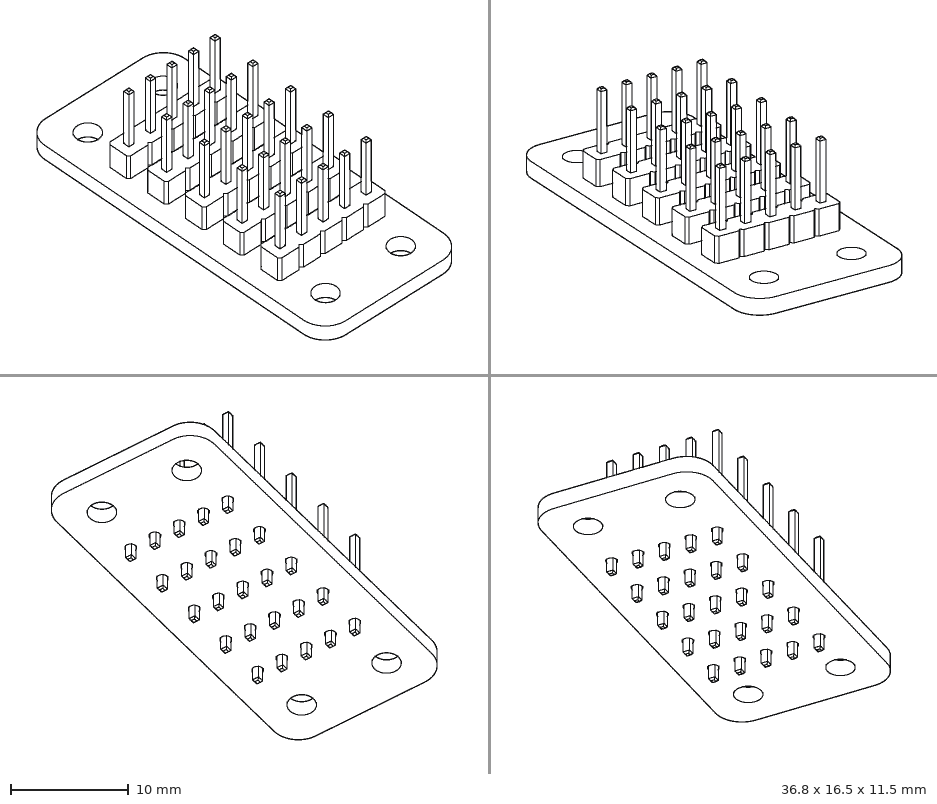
import cadquery as cq

BOARD_LENGTH = 36.83
BOARD_WIDTH = 16.5
BOARD_THICKNESS = 1.6
BOARD_CORNER_RADIUS = 2.55

MOUNT_HOLE_DIAMETER = 2.5
MOUNT_HOLE_SPACING_X = 29.2
MOUNT_HOLE_SPACING_Y = 8.88

HEADER_COUNT = 5
HEADER_SPACING = 4.65
HEADER_CENTER_X = 0.33
HEADER_CENTER_Y = 0.07

PINS_PER_HEADER = 5
PIN_PITCH = 2.55
BLOCK_HEIGHT = PIN_PITCH
BLOCK_CHAMFER = 0.25
BLOCK_CLEARANCE = 0.05
BLOCK_BOTTOM_Z = BOARD_THICKNESS + BLOCK_CLEARANCE

PIN_LENGTH = 11.53
PIN_WIDTH = 0.63
PIN_BELOW_BLOCK = 3.0
PIN_BOTTOM_Z = BLOCK_BOTTOM_Z - PIN_BELOW_BLOCK
PIN_TIP_INSET = 0.15
PIN_TIP_HEIGHT = 0.2

PIN_HOLE_DIAMETER = 1.0


def centered_steps(count, spacing, center):
    """Evenly spaced positions whose middle lies at center."""
    return [center + (i - (count - 1) / 2) * spacing for i in range(count)]


header_x = centered_steps(HEADER_COUNT, HEADER_SPACING, HEADER_CENTER_X)
pin_y = centered_steps(PINS_PER_HEADER, PIN_PITCH, HEADER_CENTER_Y)


def make_board():
    """Plate with rounded corners, mounting holes and a round hole for each pin."""
    board = (
        cq.Workplane("XY")
        .box(BOARD_LENGTH, BOARD_WIDTH, BOARD_THICKNESS, centered=(True, True, False))
        .edges("|Z")
        .fillet(BOARD_CORNER_RADIUS)
    )
    mount_holes = (
        cq.Workplane("XY")
        .rect(MOUNT_HOLE_SPACING_X, MOUNT_HOLE_SPACING_Y, forConstruction=True)
        .vertices()
        .circle(MOUNT_HOLE_DIAMETER / 2)
        .extrude(BOARD_THICKNESS)
    )
    pin_holes = (
        cq.Workplane("XY")
        .pushPoints([(x, y) for x in header_x for y in pin_y])
        .circle(PIN_HOLE_DIAMETER / 2)
        .extrude(BOARD_THICKNESS)
    )
    return board.cut(mount_holes).cut(pin_holes)


def make_block(x, y):
    """Square block with chamfered upright edges, just above the board."""
    return (
        cq.Workplane("XY")
        .box(PIN_PITCH, PIN_PITCH, BLOCK_HEIGHT, centered=(True, True, False))
        .edges("|Z")
        .chamfer(BLOCK_CHAMFER)
        .translate((x, y, BLOCK_BOTTOM_Z))
    )


def make_pin(x, y):
    """Square pin, tapered at both ends, reaching from below the board to above the block."""
    return (
        cq.Workplane("XY")
        .box(PIN_WIDTH, PIN_WIDTH, PIN_LENGTH, centered=(True, True, False))
        .faces("<Z or >Z")
        .chamfer(PIN_TIP_HEIGHT, PIN_TIP_INSET)
        .translate((x, y, PIN_BOTTOM_Z))
    )


def make_header(x):
    """One strip of blocks together with its pins, as a single solid."""
    header = make_block(x, pin_y[0])
    for y in pin_y[1:]:
        header = header.union(make_block(x, y))
    for y in pin_y:
        header = header.union(make_pin(x, y))
    return header.clean()


board = make_board()
headers = [make_header(x) for x in header_x]

result = cq.Compound.makeCompound([board.val(), *[header.val() for header in headers]])